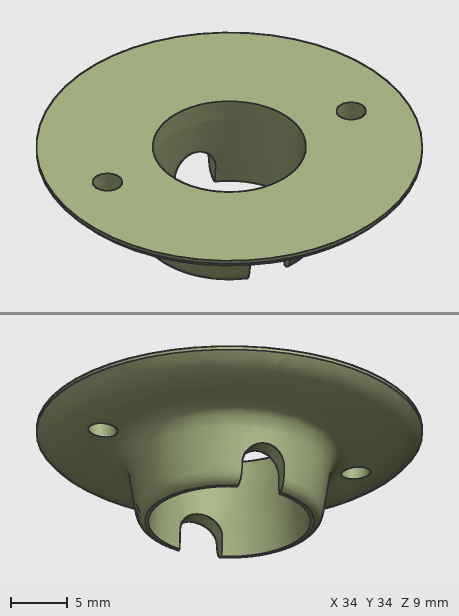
import cadquery as cq

flange_radius = 17.0
total_height = 9.0

rim_height = 0.35
collar_foot_radius = 7.45
underside_points = [
    (15.8, -1.4),
    (13.25, -2.07),
    (10.9, -2.3),
    (9.65, -2.72),
    (9.0, -3.67),
    (8.67, -5.45),
    (8.4, -7.2),
    (8.02, -8.57),
]

bore_radius = 13.5 / 2
bore_bottom_radius = 14.3 / 2
straight_bore_depth = 2.0

mount_hole_diameter = 2.6
mount_hole_offset = 11.97

slot_width = 3.98
slot_height = 3.77


def make_body():
    """Revolve the flange, collar and bore section about Z."""
    section = (
        cq.Workplane("XZ")
        .moveTo(bore_radius, 0)
        .lineTo(flange_radius, 0)
        .lineTo(flange_radius, -rim_height)
        .spline(underside_points + [(collar_foot_radius, -total_height)], includeCurrent=True)
        .lineTo(bore_bottom_radius, -total_height)
        .lineTo(bore_radius, -straight_bore_depth)
        .close()
    )
    return section.revolve(360, (0, 0, 0), (0, 1, 0))


def make_mount_holes():
    """Vertical cylinders for the mounting holes."""
    return (
        cq.Workplane("XY")
        .pushPoints([(0, mount_hole_offset), (0, -mount_hole_offset)])
        .circle(mount_hole_diameter / 2)
        .extrude(-total_height)
    )


def make_slot():
    """Round-topped cutter, open at the bottom, running the full width in X."""
    half_width = slot_width / 2
    slot_top = slot_height - total_height
    arch_base = slot_top - half_width
    return (
        cq.Workplane("YZ")
        .moveTo(-half_width, -total_height)
        .lineTo(-half_width, arch_base)
        .threePointArc((0, slot_top), (half_width, arch_base))
        .lineTo(half_width, -total_height)
        .close()
        .extrude(flange_radius, both=True)
    )


result = make_body().cut(make_mount_holes()).cut(make_slot())